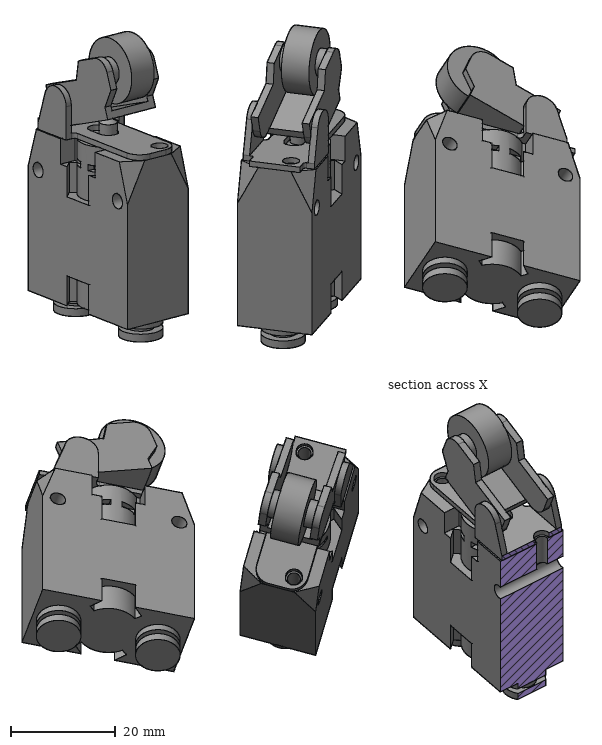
import cadquery as cq
import math


BODY_LENGTH = 30.0
BODY_WIDTH = 15.0
BODY_HEIGHT = 33.05
CORNER_CUT_X = 2.45
CORNER_CUT_Y = 4.2
CORNER_CUT_Z = 8.0

MOUNT_HOLE_D = 3.0
MOUNT_HOLE_X = 12.0
MOUNT_HOLE_Z = 25.0

SCREW_HOLE_D = 2.45
SCREW_X = 12.45
SCREW_Y = 2.45
SCREW_HOLE_DEPTH = 7.15

BARREL_R = 6.0
WINDOW_HALF_WIDTH = 5.2
WINDOW_FLOOR_Z = 27.95
WINDOW_BACK_Y = 3.95
SLOT_HALF_WIDTH = 3.3
SLOT_FLARE_X = 1.75
SLOT_FLARE_Y = 2.05
UPPER_SLOT_FLOOR_Z = 21.9
LOWER_SLOT_TOP_Z = 6.0
NOTCH_INNER_X = 1.1
NOTCH_OUTER_X = 4.0
NOTCH_BACK_Y = 4.4
NOTCH_HEIGHT = 1.25

FITTING_X = 9.8
FITTING_D = 8.5
FITTING_NECK_D = 5.0
FITTING_FLANGE = 1.4
FITTING_NECK = 1.05
FITTING_LENGTH = 4.05

PLUNGER_D = 3.5
PLUNGER_SHOULDER_Z = 36.25
PLUNGER_DOME = 0.7

PLATE_THICKNESS = 1.1
PLATE_HALF_WIDTH = 5.05
PLATE_END_R = 3.1
PLATE_TOP_Z = BODY_HEIGHT + PLATE_THICKNESS
SCREW_CLEARANCE_D = 3.25
PLUNGER_SLOT_D = 4.0
PLUNGER_SLOT_LEFT_X = -5.05
EAR_LEFT_X = -12.45
EAR_RIGHT_X = -3.95
EAR_TOP_R = 3.3
EAR_TOP_Z = 43.05
EAR_OUTER_Y = 7.15
LEFT_RELIEF_R = 0.5
RIGHT_RELIEF_R = 0.8

LEVER_ANGLE = 20
LEVER_HALF_WIDTH = 5.9
LEVER_SHEET = 1.45
ROLLER_D = 13.0
ROLLER_WIDTH = 5.5
ROLLER_X = 4.0
TOTAL_HEIGHT = 58.75
ROLLER_Z = TOTAL_HEIGHT - FITTING_LENGTH - ROLLER_D / 2
AXLE_D = 5.4
LOBE_R = 3.0
LOBE_BACK = -5.1
LOBE_FOOT = -7.1
LOBE_TIP_DROP = -3.5
ARM_TOP = -0.6
ARM_BOTTOM = -9.0
ARM_TAIL = -16.85
TAIL_CURVE_R = 3.4
WEB_TAIL = -12.0

SIDES = (-1, 1)


def box(x0, x1, y0, y1, z0, z1):
    """Box between two opposite corners."""
    return cq.Workplane("XY").box(x1 - x0, y1 - y0, z1 - z0, centered=False).translate((x0, y0, z0))


def cylinder_z(x, y, z0, z1, diameter):
    """Upright cylinder."""
    return cq.Workplane("XY", origin=(x, y, z0)).circle(diameter / 2).extrude(z1 - z0)


def cylinder_y(x, z, half_length, diameter):
    """Cylinder along Y, centred on Y = 0."""
    return cq.Workplane("XZ", origin=(x, half_length, z)).circle(diameter / 2).extrude(2 * half_length)


def corner_cut(side_x, side_y):
    """Tetrahedron that slopes off one top corner of the housing."""
    corner = cq.Vector(side_x * BODY_LENGTH / 2, side_y * BODY_WIDTH / 2, BODY_HEIGHT)
    along_x = corner - cq.Vector(side_x * CORNER_CUT_X, 0, 0)
    along_y = corner - cq.Vector(0, side_y * CORNER_CUT_Y, 0)
    down = corner - cq.Vector(0, 0, CORNER_CUT_Z)
    triangles = [
        (corner, along_x, along_y),
        (corner, along_y, down),
        (corner, down, along_x),
        (along_x, along_y, down),
    ]
    faces = [cq.Face.makeFromWires(cq.Wire.makePolygon(list(t), close=True)) for t in triangles]
    solid = cq.Solid.makeSolid(cq.Shell.makeShell(faces))
    return cq.Workplane(solid.fix())


def flared_slot(z0, z1):
    """Slot in the -Y face that widens inwards, then closes again at 45 degrees."""
    front_y = -BODY_WIDTH / 2
    flare_x = SLOT_HALF_WIDTH + SLOT_FLARE_X
    flare_y = front_y + SLOT_FLARE_Y
    outline = [
        (-SLOT_HALF_WIDTH, front_y),
        (SLOT_HALF_WIDTH, front_y),
        (flare_x, flare_y),
        (0, flare_y + flare_x),
        (-flare_x, flare_y),
    ]
    return cq.Workplane("XY", origin=(0, 0, z0)).polyline(outline).close().extrude(z1 - z0)


def front_window():
    """Openings of the -Y face around the barrel, with the barrel left standing in them."""
    front_y = -BODY_WIDTH / 2
    opening = box(
        -WINDOW_HALF_WIDTH, WINDOW_HALF_WIDTH, front_y, -WINDOW_BACK_Y, WINDOW_FLOOR_Z, BODY_HEIGHT
    )
    opening = opening.union(flared_slot(UPPER_SLOT_FLOOR_Z, WINDOW_FLOOR_Z))
    opening = opening.union(flared_slot(0, LOWER_SLOT_TOP_Z))
    opening = opening.cut(cylinder_z(0, 0, 0, BODY_HEIGHT, 2 * BARREL_R))
    notch_top = WINDOW_FLOOR_Z + NOTCH_HEIGHT
    notch = box(NOTCH_INNER_X, NOTCH_OUTER_X, -BARREL_R, -NOTCH_BACK_Y, WINDOW_FLOOR_Z, notch_top)
    return opening.union(notch).union(notch.mirror("YZ"))


def fitting(x):
    """Grooved push-in fitting under the housing."""
    shaft = cylinder_z(x, 0, -FITTING_LENGTH, 0, FITTING_NECK_D)
    upper_flange = cylinder_z(x, 0, -FITTING_FLANGE, 0, FITTING_D)
    lower_flange = cylinder_z(x, 0, -FITTING_LENGTH, -FITTING_FLANGE - FITTING_NECK, FITTING_D)
    return shaft.union(upper_flange).union(lower_flange)


def plunger():
    """Round plunger with a domed tip, standing on the barrel."""
    radius = PLUNGER_D / 2
    dome_r = (radius**2 + PLUNGER_DOME**2) / (2 * PLUNGER_DOME)
    crown_z = PLUNGER_SHOULDER_Z + PLUNGER_DOME
    mid_x = radius / 2
    mid_z = crown_z - dome_r + math.sqrt(dome_r**2 - mid_x**2)
    profile = (
        cq.Workplane("XZ")
        .moveTo(0, BODY_HEIGHT)
        .lineTo(radius, BODY_HEIGHT)
        .lineTo(radius, PLUNGER_SHOULDER_Z)
        .threePointArc((mid_x, mid_z), (0, crown_z))
        .close()
    )
    return profile.revolve(360, (0, 0, 0), (0, 1, 0))


def make_valve_body():
    """Housing with its barrel, plunger and fittings."""
    body = box(-BODY_LENGTH / 2, BODY_LENGTH / 2, -BODY_WIDTH / 2, BODY_WIDTH / 2, 0, BODY_HEIGHT)
    for side_x in SIDES:
        for side_y in SIDES:
            body = body.cut(corner_cut(side_x, side_y))

    window = front_window()
    body = body.cut(window).cut(window.mirror("XZ"))

    for side in SIDES:
        body = body.cut(cylinder_y(side * MOUNT_HOLE_X, MOUNT_HOLE_Z, BODY_WIDTH, MOUNT_HOLE_D))
        screw_bottom = BODY_HEIGHT - SCREW_HOLE_DEPTH
        body = body.cut(cylinder_z(side * SCREW_X, side * SCREW_Y, screw_bottom, BODY_HEIGHT, SCREW_HOLE_D))
        body = body.union(fitting(side * FITTING_X))
    return body.union(plunger())


def cover_plate():
    """Flat plate with rounded right corners, widened to carry the ears."""
    half_length = BODY_LENGTH / 2
    plate = box(
        -half_length, half_length, -PLATE_HALF_WIDTH, PLATE_HALF_WIDTH, BODY_HEIGHT, PLATE_TOP_Z
    )
    plate = plate.edges("|Z and >X").fillet(PLATE_END_R)
    plate = plate.union(
        box(EAR_LEFT_X, EAR_RIGHT_X, -EAR_OUTER_Y, EAR_OUTER_Y, BODY_HEIGHT, PLATE_TOP_Z)
    )
    for ear_x, relief_r in ((EAR_LEFT_X, LEFT_RELIEF_R), (EAR_RIGHT_X, RIGHT_RELIEF_R)):
        for side in SIDES:
            inner_corner = (ear_x, side * PLATE_HALF_WIDTH, BODY_HEIGHT + PLATE_THICKNESS / 2)
            plate = plate.edges(cq.selectors.NearestToPointSelector(inner_corner)).fillet(relief_r)

    for side in SIDES:
        plate = plate.cut(
            cylinder_z(side * SCREW_X, side * SCREW_Y, BODY_HEIGHT, PLATE_TOP_Z, SCREW_CLEARANCE_D)
        )
    slot_right_x = PLUNGER_SLOT_D / 2
    plunger_slot = (
        cq.Workplane("XY", origin=((PLUNGER_SLOT_LEFT_X + slot_right_x) / 2, 0, BODY_HEIGHT))
        .slot2D(slot_right_x - PLUNGER_SLOT_LEFT_X, PLUNGER_SLOT_D)
        .extrude(PLATE_THICKNESS)
    )
    return plate.cut(plunger_slot)


def ear(side):
    """Upright ear: straight right edge, round top and a left edge tangent to the round."""
    centre_x = EAR_RIGHT_X - EAR_TOP_R
    centre_z = EAR_TOP_Z - EAR_TOP_R
    to_centre_x = centre_x - EAR_LEFT_X
    to_centre_z = centre_z - PLATE_TOP_Z
    distance = math.hypot(to_centre_x, to_centre_z)
    edge_angle = math.atan2(to_centre_z, to_centre_x) + math.asin(EAR_TOP_R / distance)
    tangent_x = centre_x - EAR_TOP_R * math.sin(edge_angle)
    tangent_z = centre_z + EAR_TOP_R * math.cos(edge_angle)
    outline = (
        cq.Workplane("XZ", origin=(0, LEVER_HALF_WIDTH, 0))
        .moveTo(EAR_LEFT_X, BODY_HEIGHT)
        .lineTo(EAR_RIGHT_X, BODY_HEIGHT)
        .lineTo(EAR_RIGHT_X, centre_z)
        .threePointArc((centre_x, EAR_TOP_Z), (tangent_x, tangent_z))
        .lineTo(EAR_LEFT_X, PLATE_TOP_Z)
        .close()
    )
    far_ear = outline.extrude(LEVER_HALF_WIDTH - EAR_OUTER_Y)
    return far_ear if side > 0 else far_ear.mirror("XZ")


def lever_plane(y):
    """Plane at depth y, facing -Y, whose axes run along and across the tilted lever, from the roller axis."""
    tilt = math.radians(LEVER_ANGLE)
    return cq.Workplane(
        cq.Plane(origin=(ROLLER_X, y, ROLLER_Z), xDir=(math.cos(tilt), 0, math.sin(tilt)), normal=(0, -1, 0))
    )


def lever_cheek(outer_y):
    """Side sheet of the lever whose -Y face lies at outer_y."""
    web_top = ARM_BOTTOM + LEVER_SHEET
    diagonal = math.sqrt(0.5)
    tail_centre = (ARM_TAIL + TAIL_CURVE_R, web_top + TAIL_CURVE_R)
    return (
        lever_plane(outer_y)
        .moveTo(WEB_TAIL, ARM_BOTTOM)
        .lineTo(0, ARM_BOTTOM)
        .lineTo(0, LOBE_TIP_DROP - LOBE_R)
        .lineTo(LOBE_R, LOBE_TIP_DROP)
        .lineTo(LOBE_R, 0)
        .threePointArc((LOBE_R * diagonal, LOBE_R * diagonal), (0, LOBE_R))
        .lineTo(LOBE_BACK, LOBE_R)
        .lineTo(LOBE_FOOT, ARM_TOP)
        .lineTo(ARM_TAIL, ARM_TOP)
        .lineTo(ARM_TAIL, tail_centre[1])
        .threePointArc(
            (tail_centre[0] - TAIL_CURVE_R * diagonal, tail_centre[1] - TAIL_CURVE_R * diagonal),
            (tail_centre[0], web_top),
        )
        .lineTo(WEB_TAIL, web_top)
        .close()
        .extrude(-LEVER_SHEET)
    )


def lever():
    """Channel-shaped lever: two cheeks joined by a web along the bottom."""
    web = (
        lever_plane(-LEVER_HALF_WIDTH)
        .moveTo(WEB_TAIL, ARM_BOTTOM)
        .lineTo(0, ARM_BOTTOM)
        .lineTo(0, ARM_BOTTOM + LEVER_SHEET)
        .lineTo(WEB_TAIL, ARM_BOTTOM + LEVER_SHEET)
        .close()
        .extrude(-2 * LEVER_HALF_WIDTH)
    )
    front_cheek = lever_cheek(-LEVER_HALF_WIDTH)
    back_cheek = lever_cheek(LEVER_HALF_WIDTH - LEVER_SHEET)
    return web.union(front_cheek).union(back_cheek)


def roller():
    """Roller on its axle between the lever cheeks."""
    wheel = cylinder_y(ROLLER_X, ROLLER_Z, ROLLER_WIDTH / 2, ROLLER_D)
    axle = cylinder_y(ROLLER_X, ROLLER_Z, LEVER_HALF_WIDTH - LEVER_SHEET, AXLE_D)
    return wheel.union(axle)


def make_lever_unit():
    """Cover plate, ears, lever and roller; the lever cheeks bear on the inside of the ears."""
    unit = cover_plate()
    for side in SIDES:
        unit = unit.union(ear(side))
    return unit.union(lever()).union(roller())


valve_body = make_valve_body()
lever_unit = make_lever_unit()

result = cq.Compound.makeCompound([*valve_body.solids().vals(), *lever_unit.solids().vals()])